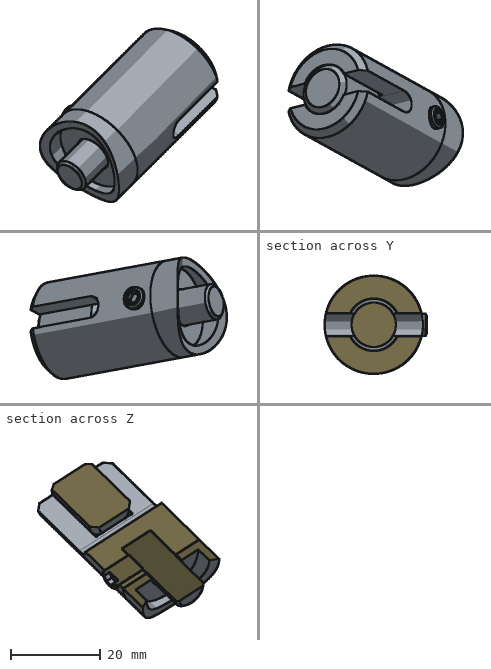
import cadquery as cq
import math

total_length = 43.4
outer_diameter = 22.0
outer_radius = outer_diameter / 2
overall_width = 22.9

housing_front_y = 10.65
housing_rear_y = 42.7
rear_chamfer = 1.5
slot_width = 5.1
slot_end_y = 24.1

ring_inner_radius = 9.0
ring_floor_thickness = 2.0
ring_hole_radius = 4.2
saddle_radius = 21.2
saddle_apex_y = 6.7

pin_radius = 4.05
pin_rear_y = 19.55
pin_chamfer_length = 0.55
pin_chamfer_depth = 0.65

plug_radius = 5.8
plug_front_y = 27.4
plug_front_chamfer = 1.55
plug_rear_radius = 4.5
plug_rear_cone_length = 1.0

screw_y = 14.67
screw_radius = 2.5
screw_head_x = outer_radius - overall_width
screw_tip_x = -pin_radius
screw_chamfer_length = 0.35
screw_chamfer_depth = 0.65
hex_across_flats = 2.55
hex_depth = 1.5


def cylinder_y(radius, y_start, y_end):
    """Cylinder on the Y axis between two stations."""
    return cq.Workplane("XZ", origin=(0, y_start, 0)).circle(radius).extrude(y_start - y_end)


def cylinder_x(radius, x_start, x_end):
    """Cylinder on the set screw axis between two stations."""
    return cq.Workplane("YZ", origin=(x_start, screw_y, 0)).circle(radius).extrude(x_end - x_start)


def revolve_y(profile):
    """Solid of revolution about the Y axis from (radius, y) points."""
    return cq.Workplane("XY").polyline(profile).close().revolve(360, (0, 0), (0, 1))


def make_housing():
    body = cylinder_y(outer_radius, housing_front_y, housing_rear_y)
    body = body.faces(">Y").chamfer(rear_chamfer)

    slot_length = total_length - slot_end_y
    slot_radius = slot_width / 2
    slot_center_y = slot_end_y + slot_radius
    slot = (
        cq.Workplane("XY")
        .box(2 * outer_radius, slot_length - slot_radius, slot_width)
        .translate((0, (slot_center_y + total_length) / 2, 0))
    )
    slot_end = (
        cq.Workplane("YZ", origin=(-outer_radius, slot_center_y, 0))
        .circle(slot_radius)
        .extrude(2 * outer_radius)
    )
    body = body.cut(slot).cut(slot_end)

    body = body.cut(cylinder_y(plug_radius, plug_front_y, total_length))
    body = body.cut(cylinder_y(pin_radius, housing_front_y, pin_rear_y))
    return body.cut(cylinder_x(screw_radius, -outer_radius, screw_tip_x))


def make_saddle_ring():
    body = cylinder_y(outer_radius, 0, housing_front_y)
    body = body.cut(cylinder_y(ring_inner_radius, 0, housing_front_y - ring_floor_thickness))
    body = body.cut(cylinder_y(ring_hole_radius, 0, housing_front_y))
    tube = (
        cq.Workplane("XY", origin=(0, saddle_apex_y - saddle_radius, -outer_radius))
        .circle(saddle_radius)
        .extrude(2 * outer_radius)
    )
    return body.cut(tube)


def make_pin():
    return revolve_y([
        (0, 0),
        (pin_radius - pin_chamfer_depth, 0),
        (pin_radius, pin_chamfer_length),
        (pin_radius, pin_rear_y),
        (0, pin_rear_y),
    ])


def make_rear_plug():
    return revolve_y([
        (0, plug_front_y),
        (plug_radius - plug_front_chamfer, plug_front_y),
        (plug_radius, plug_front_y + plug_front_chamfer),
        (plug_radius, total_length - plug_rear_cone_length),
        (plug_rear_radius, total_length),
        (0, total_length),
    ])


def make_set_screw():
    body = cylinder_x(screw_radius, screw_head_x, screw_tip_x)
    body = body.faces("<X").edges().chamfer(screw_chamfer_length, screw_chamfer_depth)
    hex_across_corners = hex_across_flats / math.cos(math.pi / 6)
    socket = (
        cq.Workplane("YZ", origin=(screw_head_x, screw_y, 0))
        .polygon(6, hex_across_corners)
        .extrude(hex_depth)
    )
    return body.cut(socket)


housing = make_housing()
saddle_ring = make_saddle_ring()
pin = make_pin()
rear_plug = make_rear_plug()
set_screw = make_set_screw()

result = cq.Compound.makeCompound([
    housing.solids().val(),
    saddle_ring.solids().val(),
    pin.solids().val(),
    rear_plug.solids().val(),
    set_screw.solids().val(),
])